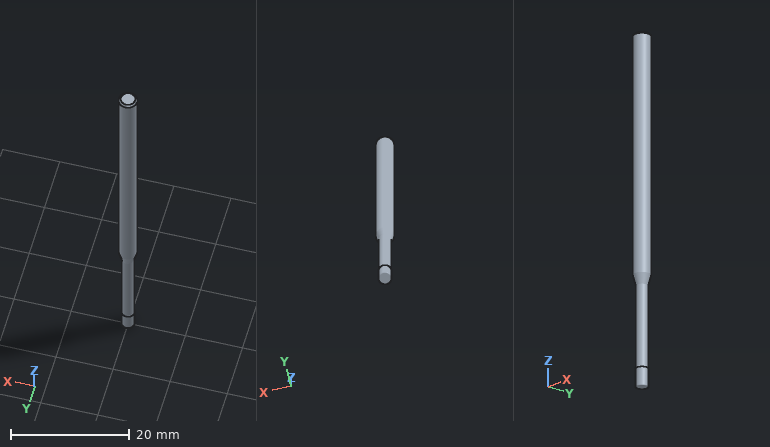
import cadquery as cq

overall_length = 63.5
shank_diameter = 3.175
shank_chamfer = 0.35

neck_diameter = 2.14
taper_top = 20.2
taper_bottom = 18.25

head_diameter = 2.28
head_length = 3.35
head_corner_radius = 0.15
flare_length = 0.3


def make_shank():
    """Revolve the chamfered shank, its taper, the neck and the flare onto the head."""
    shank_radius = shank_diameter / 2
    neck_radius = neck_diameter / 2
    profile = (
        cq.Workplane("XZ")
        .moveTo(0, head_length)
        .lineTo(head_diameter / 2, head_length)
        .lineTo(neck_radius, head_length + flare_length)
        .lineTo(neck_radius, taper_bottom)
        .lineTo(shank_radius, taper_top)
        .lineTo(shank_radius, overall_length - shank_chamfer)
        .lineTo(shank_radius - shank_chamfer, overall_length)
        .lineTo(0, overall_length)
        .close()
    )
    return profile.revolve(360, (0, 0, 0), (0, 1, 0))


def make_head():
    """Build the cylindrical cutting head with its rounded tip corner."""
    blank = cq.Workplane("XY").circle(head_diameter / 2).extrude(head_length)
    return blank.faces("<Z").edges().fillet(head_corner_radius)


shank = make_shank()
head = make_head()

result = cq.Compound.makeCompound([shank.val(), head.val()])